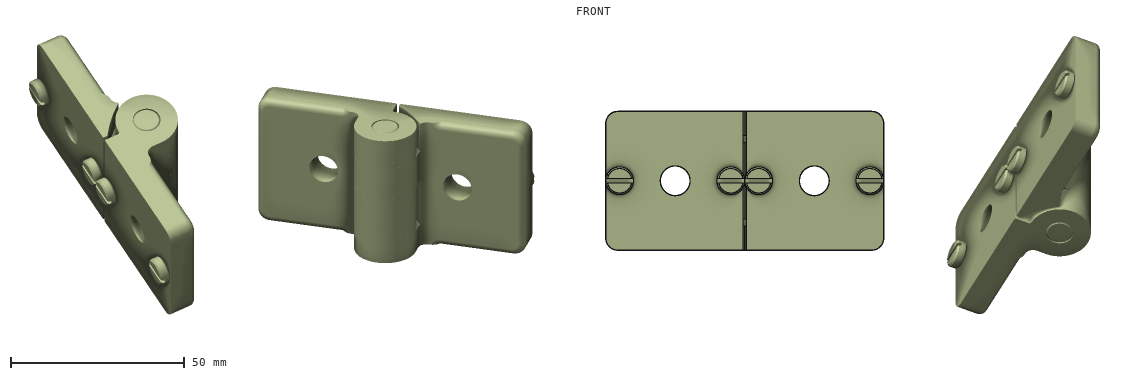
import cadquery as cq


hinge_length = 80.0
hinge_height = 40.0
hinge_depth = 26.0

leaf_gap = 1.0
leaf_thickness = 8.5
corner_radius = 3.5
edge_radius = 2.0
edge_runout_start = 14.9
edge_runout_radius = 1.2
mounting_hole_diameter = 8.5
mounting_hole_x = hinge_length / 4
leaf_inner_x = leaf_gap / 2
leaf_outer_x = hinge_length / 2
half_height = hinge_height / 2

barrel_diameter = 18.0
barrel_radius = barrel_diameter / 2
axis_y = 14.0
root_radius = 2.6
step_y = 4.8
pin_diameter = 8.0
pin_chamfer = 0.5

washer_thickness = 2.0
middle_knuckle = 10.0
washer_pitch = middle_knuckle + washer_thickness
washer_levels = [-washer_pitch, 0.0, washer_pitch]

clearance_start = (-9.5, 10.2)
clearance_middle = (-4.4, 4.5)
clearance_end = (-leaf_inner_x, 1.4)

screw_diameter = 8.0
screw_height = hinge_depth - axis_y - barrel_radius
screw_chamfer = 0.5
slot_width = 1.2
slot_depth = 1.2
inner_screw_x = screw_diameter / 2
outer_screw_x = leaf_outer_x - screw_diameter / 2

overrun = 4.0


def cylinder_on_axis(diameter, z_bottom, z_top):
    """Cylinder about the hinge axis between two levels."""
    disk = cq.Workplane("XY", origin=(0, axis_y, z_bottom)).circle(diameter / 2)
    return disk.extrude(z_top - z_bottom)


def prism_along_z(outline, z_bottom, z_top):
    """Solid with a constant XY outline between two levels."""
    return outline.extrude(z_top - z_bottom).translate((0, 0, z_bottom))


def left_plate():
    """Flat plate whose rounded back edges run out sideways before the barrel."""
    runout_end_x = -edge_runout_start + edge_runout_radius
    stock_half_height = half_height + edge_runout_radius + overrun
    half_outline = (
        cq.Workplane("XZ")
        .moveTo(-leaf_inner_x, 0)
        .lineTo(-leaf_inner_x, stock_half_height)
        .lineTo(runout_end_x, stock_half_height)
        .lineTo(runout_end_x, half_height + edge_runout_radius)
        .radiusArc((-edge_runout_start, half_height), edge_runout_radius)
        .lineTo(-leaf_outer_x + corner_radius, half_height)
        .radiusArc((-leaf_outer_x, half_height - corner_radius), -corner_radius)
        .lineTo(-leaf_outer_x, 0)
    )
    stock = half_outline.mirrorX().extrude(-leaf_thickness)
    rounded_edges = cq.selectors.BoxSelector(
        (-leaf_outer_x - overrun, 0, -stock_half_height),
        (runout_end_x + edge_radius, leaf_thickness + overrun, stock_half_height),
    )
    rounded = stock.faces(">Y").edges(rounded_edges).fillet(edge_radius)
    trim = cq.Workplane("XY").box(2 * hinge_length, 2 * hinge_length, hinge_height)
    return rounded.intersect(trim)


def left_barrel():
    """Full-height barrel with its straight flank and concave root."""
    root = (
        cq.Workplane("XY")
        .moveTo(-barrel_radius - root_radius, leaf_thickness)
        .radiusArc((-barrel_radius, leaf_thickness + root_radius), -root_radius)
        .lineTo(-barrel_radius, axis_y)
        .lineTo(0, axis_y)
        .lineTo(0, step_y)
        .lineTo(-leaf_inner_x, step_y)
        .lineTo(-leaf_inner_x, 0)
        .lineTo(-barrel_radius - root_radius, 0)
        .close()
    )
    barrel = cylinder_on_axis(barrel_diameter, -half_height, half_height)
    return barrel.union(prism_along_z(root, -half_height, half_height))


def clearance(z_bottom, z_top):
    """Space for a knuckle of the other leaf and the washers beside it."""
    outline = (
        cq.Workplane("XY")
        .moveTo(*clearance_start)
        .threePointArc(clearance_middle, clearance_end)
        .lineTo(barrel_radius + overrun, clearance_end[1])
        .lineTo(barrel_radius + overrun, hinge_depth)
        .lineTo(clearance_start[0], hinge_depth)
        .close()
    )
    return prism_along_z(outline, z_bottom, z_top)


def make_left_leaf():
    """Left leaf, with knuckles at the bottom end and just above half height."""
    half_washer = washer_thickness / 2
    bottom_washer, middle_washer, top_washer = washer_levels
    leaf = left_plate().union(left_barrel())
    leaf = leaf.cut(clearance(bottom_washer - half_washer, middle_washer + half_washer))
    leaf = leaf.cut(clearance(top_washer - half_washer, half_height + overrun))
    leaf = leaf.cut(cylinder_on_axis(pin_diameter, -half_height, half_height))
    mounting_hole = (
        cq.Workplane("XZ", origin=(-mounting_hole_x, 0, 0))
        .circle(mounting_hole_diameter / 2)
        .extrude(-leaf_thickness)
    )
    return leaf.cut(mounting_hole)


def make_right_leaf():
    """Right leaf: the left leaf turned half a turn about the Y axis."""
    return make_left_leaf().rotate((0, 0, 0), (0, 1, 0), 180)


def make_pin():
    """Hinge pin, flush with both ends of the barrel."""
    pin = cylinder_on_axis(pin_diameter, -half_height, half_height)
    return pin.faces("<Z or >Z").chamfer(pin_chamfer)


def make_washer(level):
    """Spacer between two neighbouring knuckles, centred on the given level."""
    z_bottom = level - washer_thickness / 2
    z_top = level + washer_thickness / 2
    bore = cylinder_on_axis(pin_diameter, z_bottom, z_top)
    return cylinder_on_axis(barrel_diameter, z_bottom, z_top).cut(bore)


def make_screw(x):
    """Slotted screw head on the mounting face, chamfered at both ends."""
    head = cq.Workplane("XZ").circle(screw_diameter / 2).extrude(screw_height)
    head = head.faces("<Y or >Y").chamfer(screw_chamfer)
    slot = (
        cq.Workplane("XZ", origin=(0, -screw_height, 0))
        .rect(screw_diameter + overrun, slot_width)
        .extrude(-slot_depth)
    )
    return head.cut(slot).translate((x, 0, 0))


left_leaf = make_left_leaf()
right_leaf = make_right_leaf()
pin = make_pin()
washers = [make_washer(level) for level in washer_levels]
screw_positions = [-outer_screw_x, -inner_screw_x, inner_screw_x, outer_screw_x]
screws = [make_screw(x) for x in screw_positions]

result = cq.Compound.makeCompound([
    left_leaf.val(),
    right_leaf.val(),
    pin.val(),
    *[washer.val() for washer in washers],
    *[screw.val() for screw in screws],
])